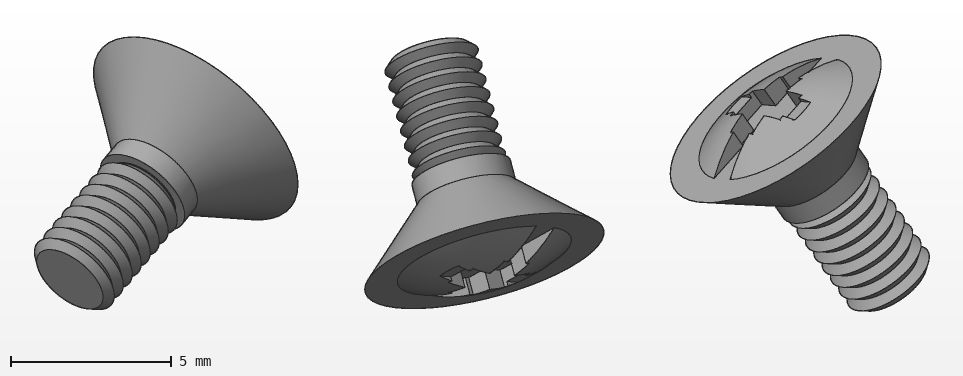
import cadquery as cq
import math

total_length = 7.69
head_radius = 3.84
dome_base_radius = 2.79
dome_height = 0.69
collar_radius = 1.585
collar_length = 0.71

crest_radius = 1.5
root_radius = 1.245
pitch = 0.5
ring_count = 8

cross_half_width = 0.56
cross_half_length = 1.27
slot_width = 0.815
cross_slot_depth = 0.245

rim_y = total_length - dome_height
collar_top_y = rim_y - (head_radius - collar_radius)
collar_bottom_y = collar_top_y - collar_length

peak_radius = cross_half_width * math.sqrt(2)
center_drop = (dome_base_radius**2 - peak_radius**2 - dome_height**2) / (2 * dome_height)
dome_radius = math.hypot(dome_base_radius, center_drop)
dome_apex_y = rim_y - center_drop + dome_radius


def screw_body():
    """Revolve the thread, collar, cone and full dome about the screw axis."""
    profile = cq.Workplane("XY").moveTo(0, 0).lineTo(root_radius, 0)
    for ring in range(ring_count):
        profile = profile.lineTo(crest_radius, (ring + 0.5) * pitch)
        profile = profile.lineTo(root_radius, (ring + 1) * pitch)
    mid_radius = dome_base_radius / 2
    mid_y = rim_y - center_drop + math.sqrt(dome_radius**2 - mid_radius**2)
    profile = (
        profile.lineTo(root_radius, collar_bottom_y)
        .lineTo(collar_radius, collar_bottom_y)
        .lineTo(collar_radius, collar_top_y)
        .lineTo(head_radius, rim_y)
        .lineTo(dome_base_radius, rim_y)
        .threePointArc((mid_radius, mid_y), (0, dome_apex_y))
        .close()
    )
    return profile.revolve(360, (0, 0, 0), (0, 1, 0))


def recess_bar(length, width, floor_y, angle):
    """Bar that cuts the dome from above down to floor_y, turned about the axis."""
    height = dome_apex_y - floor_y
    bar = cq.Workplane("XY").box(length, height, width)
    bar = bar.translate((0, floor_y + height / 2, 0))
    return bar.rotate((0, 0, 0), (0, 1, 0), angle)


through_angle = 45
shallow_angle = -45
shallow_floor_y = total_length - cross_slot_depth

result = screw_body()
for bar_angle in (through_angle, shallow_angle):
    result = result.cut(recess_bar(2 * cross_half_length, 2 * cross_half_width, rim_y, bar_angle))
result = result.cut(recess_bar(2 * head_radius, slot_width, rim_y, through_angle))
result = result.cut(recess_bar(2 * head_radius, slot_width, shallow_floor_y, shallow_angle))